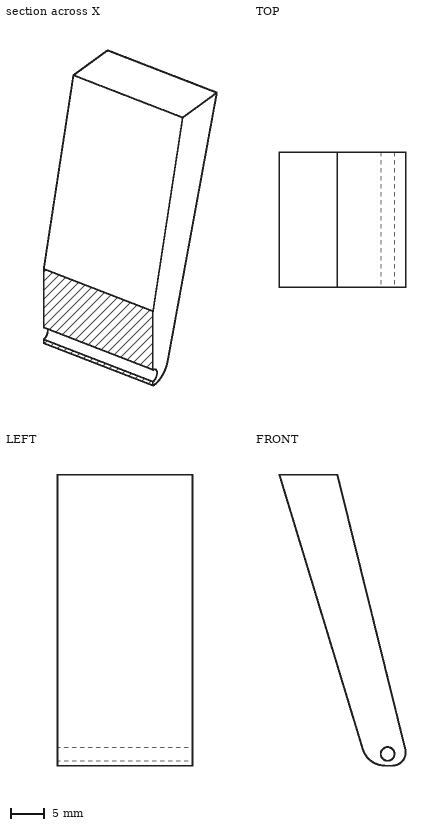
import cadquery as cq
import math

LENGTH_X = 18.69
WIDTH_Y = 20.0
HEIGHT_Z = 43.02

LEFT_LEAN = 16.9
RIGHT_LEAN = 13.9

LEFT_RADIUS = 3.5
RIGHT_RADIUS = 2.0

HOLE_DIAMETER = 2.0
HOLE_FROM_RIGHT = 2.68
HOLE_FROM_BOTTOM = 1.75

right_x = HOLE_FROM_RIGHT
left_x = right_x - LENGTH_X
bottom_z = -HOLE_FROM_BOTTOM
top_z = bottom_z + HEIGHT_Z


def on_circle(center, radius, degrees):
    """Point on a circle at an angle measured from +X towards +Z."""
    angle = math.radians(degrees)
    return (center[0] + radius * math.cos(angle), center[1] + radius * math.sin(angle))


def lever_profile():
    """Tapered leaning bar, rounded tangentially into a short flat at the bottom."""
    right_center = (right_x - RIGHT_RADIUS, bottom_z + RIGHT_RADIUS)
    right_tangent = on_circle(right_center, RIGHT_RADIUS, RIGHT_LEAN)
    top_right_x = right_tangent[0] - (top_z - right_tangent[1]) * math.tan(math.radians(RIGHT_LEAN))

    left_center_z = bottom_z + LEFT_RADIUS
    left_face_x = left_x + (top_z - left_center_z) * math.tan(math.radians(LEFT_LEAN))
    left_center = (left_face_x + LEFT_RADIUS / math.cos(math.radians(LEFT_LEAN)), left_center_z)
    left_normal = 180 + LEFT_LEAN
    down = 270

    return (
        cq.Workplane("XZ")
        .moveTo(left_x, top_z)
        .lineTo(top_right_x, top_z)
        .lineTo(*right_tangent)
        .threePointArc(
            on_circle(right_center, RIGHT_RADIUS, (RIGHT_LEAN - 90) / 2),
            (right_center[0], bottom_z),
        )
        .lineTo(left_center[0], bottom_z)
        .threePointArc(
            on_circle(left_center, LEFT_RADIUS, (left_normal + down) / 2),
            on_circle(left_center, LEFT_RADIUS, left_normal),
        )
        .close()
    )


def pivot_hole():
    """Cylinder along Y that passes through the full width."""
    return cq.Workplane("XZ").circle(HOLE_DIAMETER / 2).extrude(WIDTH_Y / 2, both=True)


lever = lever_profile().extrude(WIDTH_Y / 2, both=True)
result = lever.cut(pivot_hole())